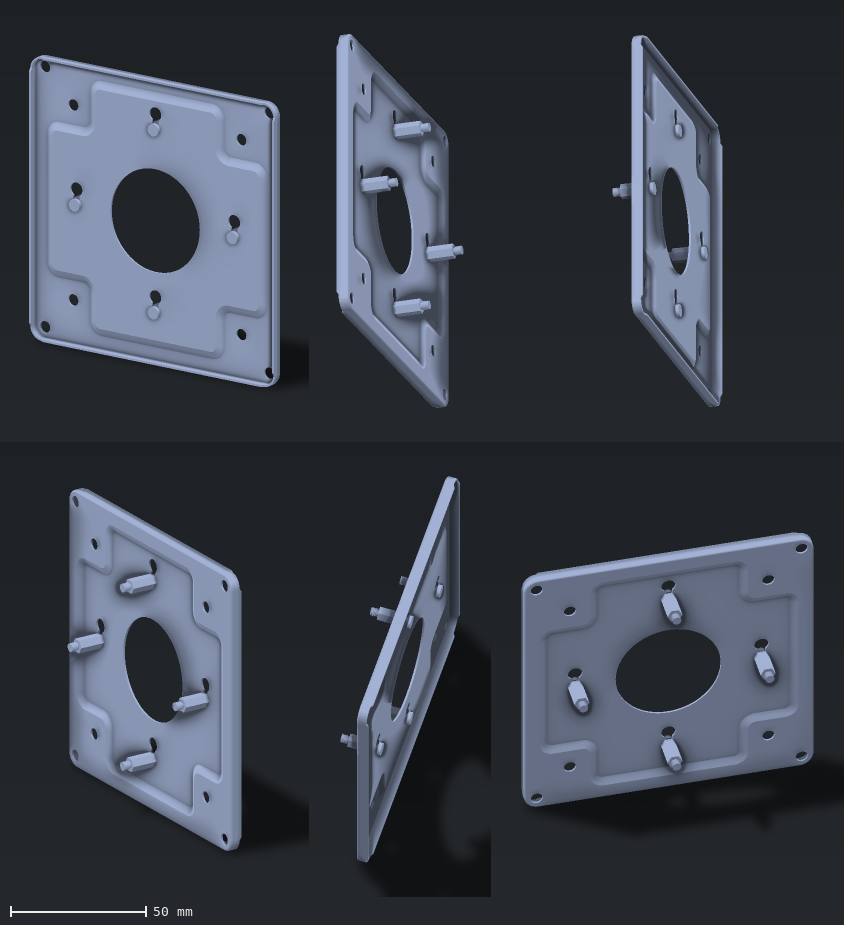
import cadquery as cq
import math


tray_side = 110.0
tray_depth = 4.5
corner_radius = 5.3
wall = 0.8
bend_radius = 0.9
rim_drop = 0.8
notch_reach = 5.0
notch_bevel_run = 1.3

cross_half_length = 49.4
cross_half_width = 30.1
cross_height = 1.3
slope_run = 3.1
convex_radius = 5.3
concave_radius = 2.8

center_hole_diameter = 40.0
mounting_hole_diameter = 4.5
corner_hole_offset = 50.4
inner_hole_offset = 37.7
keyhole_diameter = 5.4
keyhole_slot_width = 3.0
keyhole_rise = 5.8

stud_circle_radius = 35.4
head_diameter = 4.7
head_thickness = 1.5
hex_across_flats = 5.0
hex_end = 9.0
neck_diameter = 2.6
neck_length = 0.7
thread_diameter = 3.3
thread_pitch = 0.48
thread_depth = 0.31
thread_turns = 5

floor_front = -wall
cross_back = -cross_height
cross_front = cross_back - wall
rim_front = -tray_depth
slope_angle = math.atan2(slope_run, cross_height)
recess_inset = wall / math.cos(slope_angle) - wall * math.tan(slope_angle)
stud_places = [
    (stud_circle_radius, 0),
    (0, stud_circle_radius),
    (-stud_circle_radius, 0),
    (0, -stud_circle_radius),
]


def plane_at(y):
    """Sketch plane at depth y with local axes X and Z; positive extrusions run toward -Y."""
    return cq.Workplane("XZ", origin=(0, y, 0))


def four_corners(offset):
    return [(sx * offset, sz * offset) for sx in (-1, 1) for sz in (-1, 1)]


def cylinder(y_start, y_end, diameter):
    return plane_at(y_start).circle(diameter / 2).extrude(y_start - y_end)


def tray_shell():
    outer = plane_at(0).rect(tray_side, tray_side).extrude(tray_depth)
    outer = outer.edges("|Y").fillet(corner_radius)
    outer = outer.faces(">Y").edges().fillet(bend_radius)
    inner_side = tray_side - 2 * wall
    inner = plane_at(floor_front).rect(inner_side, inner_side).extrude(tray_depth)
    inner = inner.edges("|Y").fillet(corner_radius - wall)
    return outer.cut(inner)


def corner_notches():
    """Four blocks with beveled sides that lower the rim around the rounded corners."""
    notch_side = 2 * notch_reach
    bevel_angle = math.degrees(math.atan2(notch_bevel_run, rim_drop))
    return (
        plane_at(rim_front + rim_drop)
        .pushPoints(four_corners(tray_side / 2))
        .rect(notch_side, notch_side)
        .extrude(rim_drop, taper=-bevel_angle)
    )


def rounded_wire(corners, y):
    """Closed wire at depth y through right-angled corners (x, z, radius), each rounded by an arc."""
    points = [cq.Vector(x, y, z) for x, z, _ in corners]
    arcs = []
    for i, (_, _, radius) in enumerate(corners):
        corner = points[i]
        back = (points[i - 1] - corner).normalized()
        ahead = (points[(i + 1) % len(points)] - corner).normalized()
        center = corner + (back + ahead) * radius
        middle = center - (back + ahead).normalized() * radius
        arcs.append((corner + back * radius, middle, corner + ahead * radius))
    edges = []
    for i, arc in enumerate(arcs):
        edges.append(cq.Edge.makeLine(arcs[i - 1][2], arc[0]))
        edges.append(cq.Edge.makeThreePointArc(*arc))
    return cq.Wire.assembleEdges(edges)


def cross_wire(y, inset):
    """Closed cross outline at depth y, pulled in by inset, with rounded corners."""
    length = cross_half_length - inset
    width = cross_half_width - inset
    convex = convex_radius - inset
    concave = concave_radius + inset
    quarter = [(length, width, convex), (width, width, concave), (width, length, convex)]
    corners = []
    for cos_turn, sin_turn in [(1, 0), (0, 1), (-1, 0), (0, -1)]:
        for x, z, radius in quarter:
            corners.append((x * cos_turn - z * sin_turn, x * sin_turn + z * cos_turn, radius))
    return rounded_wire(corners, y)


def cross_block(base_y, base_inset):
    """Cross with sloping sides that rises by cross_height toward -Y."""
    base = cross_wire(base_y, base_inset)
    top = cross_wire(base_y - cross_height, base_inset + slope_run)
    return cq.Workplane(cq.Solid.makeLoft([base, top], True))


def mounting_holes():
    places = four_corners(corner_hole_offset) + four_corners(inner_hole_offset)
    return plane_at(0).pushPoints(places).circle(mounting_hole_diameter / 2).extrude(wall)


def keyholes():
    """Round openings, each with a round-ended slot that leads down around a stud."""
    openings = [(x, z + keyhole_rise) for x, z in stud_places]
    slots = [(x, z + keyhole_rise / 2) for x, z in stud_places]
    slot_length = keyhole_rise + keyhole_slot_width
    sheet = plane_at(cross_back)
    round_part = sheet.pushPoints(openings).circle(keyhole_diameter / 2).extrude(wall)
    slot_part = sheet.pushPoints(slots).slot2D(slot_length, keyhole_slot_width, 90).extrude(wall)
    return round_part.union(slot_part)


def make_tray():
    tray = tray_shell().cut(corner_notches())
    tray = tray.union(cross_block(floor_front, 0))
    tray = tray.cut(cross_block(0, recess_inset))
    tray = tray.cut(cylinder(cross_back, cross_front, center_hole_diameter))
    return tray.cut(mounting_holes()).cut(keyholes())


def thread(y_start):
    """Threaded tip along +Y from y_start, with one ring-shaped ridge per thread turn."""
    crest = thread_diameter / 2
    root = crest - thread_depth
    profile = cq.Workplane("XY").moveTo(0, y_start).lineTo(crest, y_start)
    for turn in range(thread_turns):
        turn_start = y_start + turn * thread_pitch
        profile = profile.lineTo(root, turn_start + thread_pitch / 2)
        profile = profile.lineTo(crest, turn_start + thread_pitch)
    profile = profile.lineTo(0, y_start + thread_turns * thread_pitch).close()
    return profile.revolve(360, (0, 0, 0), (0, 1, 0))


def make_stud(x, z):
    """Stud clamped in a keyhole: head in front, shank in the slot, hex and thread behind."""
    neck_end = hex_end + neck_length
    hex_across_corners = hex_across_flats / math.cos(math.pi / 6)
    stud = plane_at(hex_end).polygon(6, hex_across_corners).extrude(hex_end - cross_back)
    stud = stud.union(cylinder(cross_back, cross_front, keyhole_slot_width))
    stud = stud.union(cylinder(cross_front, cross_front - head_thickness, head_diameter))
    stud = stud.union(cylinder(neck_end, hex_end, neck_diameter))
    stud = stud.union(thread(neck_end))
    return stud.translate((x, 0, z))


tray = make_tray()
studs = [make_stud(x, z) for x, z in stud_places]

result = cq.Compound.makeCompound([tray.val()] + [stud.val() for stud in studs])